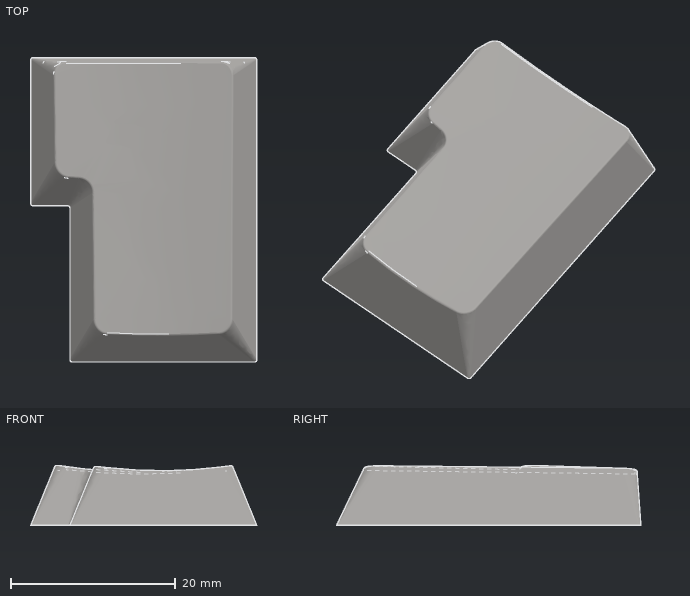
import cadquery as cq

WIDTH = 27.53
DEPTH = 37.05
STEP_WIDTH = 4.78
STEP_Y = 0.5
BASE_CORNER_RADIUS = 0.3

BLANK_HEIGHT = 8.15
SIDE_SLOPE = 0.41
FRONT_SLOPE = 0.48
BACK_SLOPE = 0.07
BLANK_CORNER_RADIUS = 1.95

BACK_DISH_RADIUS = 85.2
BACK_DISH_X = 0.0
BACK_DISH_FLOOR = 6.22
FRONT_DISH_RADIUS = 55.58
FRONT_DISH_X = 2.37
FRONT_DISH_FLOOR = 6.7
CUTTER_CLEARANCE = 1.85
CUTTER_TOP = BLANK_HEIGHT + CUTTER_CLEARANCE
CUTTER_HALF_WIDTH = 14.82

RIM_FILLET = 0.3


def outline(height, corner_radius):
    """Rounded L-shaped wire of the leaning walls at the given height."""
    side_inset = SIDE_SLOPE * height
    front_inset = FRONT_SLOPE * height
    left = -WIDTH / 2 + side_inset
    right = WIDTH / 2 - side_inset
    front = -DEPTH / 2 + front_inset
    back = DEPTH / 2 - BACK_SLOPE * height
    step_x = left + STEP_WIDTH
    step_y = STEP_Y + front_inset
    corners = [
        (step_x, front),
        (right, front),
        (right, back),
        (left, back),
        (left, step_y),
        (step_x, step_y),
    ]
    wire = cq.Wire.makePolygon([cq.Vector(x, y, height) for x, y in corners], close=True)
    return wire.fillet2D(corner_radius, wire.Vertices())


def dish_section(y, radius, axis_x, floor):
    """Closed XZ profile at depth y, bounded below by the dish arc."""
    half = CUTTER_HALF_WIDTH
    rise = radius - (radius**2 - half**2) ** 0.5
    left = cq.Vector(axis_x - half, y, floor + rise)
    right = cq.Vector(axis_x + half, y, floor + rise)
    bottom = cq.Vector(axis_x, y, floor)
    top_left = cq.Vector(axis_x - half, y, CUTTER_TOP)
    top_right = cq.Vector(axis_x + half, y, CUTTER_TOP)
    return cq.Wire.assembleEdges([
        cq.Edge.makeThreePointArc(left, bottom, right),
        cq.Edge.makeLine(right, top_right),
        cq.Edge.makeLine(top_right, top_left),
        cq.Edge.makeLine(top_left, left),
    ])


blank = cq.Solid.makeLoft(
    [outline(0, BASE_CORNER_RADIUS), outline(BLANK_HEIGHT, BLANK_CORNER_RADIUS)],
    True,
)

dish = cq.Solid.makeLoft(
    [
        dish_section(DEPTH / 2, BACK_DISH_RADIUS, BACK_DISH_X, BACK_DISH_FLOOR),
        dish_section(-DEPTH / 2, FRONT_DISH_RADIUS, FRONT_DISH_X, FRONT_DISH_FLOOR),
    ],
    True,
)
dished = cq.Workplane(obj=blank).cut(cq.Workplane(obj=dish))

result = dished.faces(">Z").edges().fillet(RIM_FILLET)